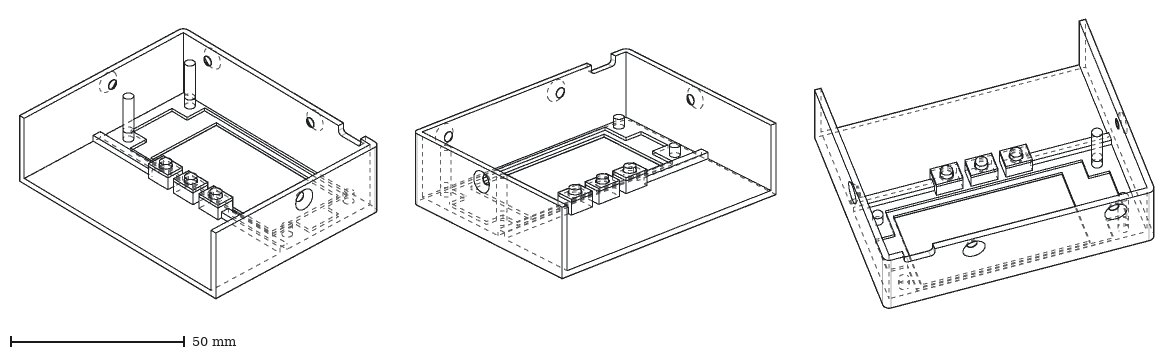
import cadquery as cq
CASE_LENGTH = 82.0
CASE_WIDTH = 65.0
CASE_HEIGHT = 23.0
WALL = 2.0
FLOOR = 2.0
CORNER_RADIUS = 2.0

SCREW_HOLE_DIAMETER = 3.0
SCREW_HOLE_Z = 18.0
REAR_SCREW_X = [-28.95, 13.9]
SIDE_SCREW_Y = 2.55
COUNTERSINK_DIAMETER = 6.7
COUNTERSINK_DEPTH = 1.8

NOTCH_LEFT = 25.8
NOTCH_WIDTH = 9.2
NOTCH_BOTTOM_Z = 20.0
NOTCH_RADIUS = 1.2

WINDOW = (-22.55, 28.4, 2.05, 28.0)
DISPLAY_POCKET = (-29.2, 30.25, 0.25, 29.7)
LEFT_TAB = (-35.5, DISPLAY_POCKET[0], 6.6, 22.7)
RIGHT_TAB = (DISPLAY_POCKET[1], 36.2, 9.1, 20.7)
POCKET_DEPTH = 1.0

BOSS_DIAMETER = 3.1
BOSS_TOP_Z = 5.1
LEFT_BOSS_X = -32.9
RIGHT_BOSS_X = 33.45
BOSS_Y = [2.95, 27.3]
PEG_TOP_Z = 17.0

RIB_WIDTH = 2.8
RIB_Y = -3.8
RIB_TOP_Z = 4.0

BUTTON_PITCH = 10.5
BUTTON_COUNT = 3
BUTTON_Y = -3.5
BLOCK_LENGTH = 8.0
BLOCK_WIDTH = 5.9
COVER_TOP_Z = 7.05
COVER_THICKNESS = 1.0
COVER_HOLE_DIAMETER = 3.9
PLUNGER_DIAMETER = 3.5
PLUNGER_TOP_Z = 8.5

BLOCK_TOP_Z = COVER_TOP_Z - COVER_THICKNESS
BUTTON_X = [(i - (BUTTON_COUNT - 1) / 2) * BUTTON_PITCH for i in range(BUTTON_COUNT)]


def box_between(bounds, z_min, z_max):
    """Box over (x min, x max, y min, y max) from z_min to z_max."""
    x_min, x_max, y_min, y_max = bounds
    size = (x_max - x_min, y_max - y_min, z_max - z_min)
    return cq.Workplane("XY").box(*size, centered=False).translate((x_min, y_min, z_min))


def block_at(x, y, length, width, z_min, z_max):
    """Box centred on (x, y) from z_min to z_max."""
    bounds = (x - length / 2, x + length / 2, y - width / 2, y + width / 2)
    return box_between(bounds, z_min, z_max)


def cylinder_at(x, y, diameter, z_min, z_max):
    """Upright cylinder centred on (x, y) from z_min to z_max."""
    return cq.Workplane("XY", origin=(x, y, z_min)).circle(diameter / 2).extrude(z_max - z_min)


def make_shell():
    """Floor with left, right and rear walls."""
    outer = block_at(0, 0, CASE_LENGTH, CASE_WIDTH, 0, CASE_HEIGHT)
    outer = outer.edges("|Z and >Y").fillet(CORNER_RADIUS)
    half_inside = CASE_LENGTH / 2 - WALL
    cavity = (-half_inside, half_inside, -CASE_WIDTH / 2, CASE_WIDTH / 2 - WALL)
    return outer.cut(box_between(cavity, FLOOR, CASE_HEIGHT))


def cut_display_opening(case):
    """Through window inside a shallow pocket with a tab at each end."""
    for area in (DISPLAY_POCKET, LEFT_TAB, RIGHT_TAB):
        case = case.cut(box_between(area, FLOOR - POCKET_DEPTH, FLOOR))
    return case.cut(box_between(WINDOW, 0, FLOOR))


def screw_hole(x, y, inward):
    """Countersunk hole through a wall, starting on its outer face and running along inward."""
    outer_center = cq.Vector(x, y, SCREW_HOLE_Z)
    hole_radius = SCREW_HOLE_DIAMETER / 2
    shank = cq.Solid.makeCylinder(hole_radius, WALL, outer_center, inward)
    head_radius = COUNTERSINK_DIAMETER / 2
    head = cq.Solid.makeCone(head_radius, hole_radius, COUNTERSINK_DEPTH, outer_center, inward)
    return shank.fuse(head)


def cable_notch():
    """Round-cornered slot open at the top of the rear wall."""
    bounds = (NOTCH_LEFT, NOTCH_LEFT + NOTCH_WIDTH, CASE_WIDTH / 2 - WALL, CASE_WIDTH / 2)
    return box_between(bounds, NOTCH_BOTTOM_Z, CASE_HEIGHT).edges("|Y and <Z").fillet(NOTCH_RADIUS)


def make_case():
    """Shell with its openings, bosses, rib and button blocks."""
    case = cut_display_opening(make_shell())
    for x in REAR_SCREW_X:
        case = case.cut(screw_hole(x, CASE_WIDTH / 2, cq.Vector(0, -1, 0)))
    for side in (-1, 1):
        case = case.cut(screw_hole(side * CASE_LENGTH / 2, SIDE_SCREW_Y, cq.Vector(-side, 0, 0)))
    case = case.cut(cable_notch())
    for x in (LEFT_BOSS_X, RIGHT_BOSS_X):
        for y in BOSS_Y:
            case = case.union(cylinder_at(x, y, BOSS_DIAMETER, FLOOR, BOSS_TOP_Z))

    rib = block_at(0, RIB_Y, CASE_LENGTH - 2 * WALL, RIB_WIDTH, FLOOR, RIB_TOP_Z)
    row_length = BUTTON_X[-1] - BUTTON_X[0] + BLOCK_LENGTH
    case = case.union(rib.cut(block_at(0, RIB_Y, row_length, RIB_WIDTH, FLOOR, RIB_TOP_Z)))
    for x in BUTTON_X:
        case = case.union(block_at(x, BUTTON_Y, BLOCK_LENGTH, BLOCK_WIDTH, FLOOR, BLOCK_TOP_Z))
    return case


def make_peg(y):
    """Peg standing on a left boss."""
    return cylinder_at(LEFT_BOSS_X, y, BOSS_DIAMETER, BOSS_TOP_Z, PEG_TOP_Z)


def make_cover(x):
    """Plate on a button block with a clearance hole for the plunger."""
    plate = block_at(x, BUTTON_Y, BLOCK_LENGTH, BLOCK_WIDTH, BLOCK_TOP_Z, COVER_TOP_Z)
    return plate.cut(cylinder_at(x, BUTTON_Y, COVER_HOLE_DIAMETER, BLOCK_TOP_Z, COVER_TOP_Z))


def make_plunger(x):
    """Plunger resting on a button block, inside the hole of its cover."""
    return cylinder_at(x, BUTTON_Y, PLUNGER_DIAMETER, BLOCK_TOP_Z, PLUNGER_TOP_Z)


case = make_case()
pegs = [make_peg(y) for y in BOSS_Y]
covers = [make_cover(x) for x in BUTTON_X]
plungers = [make_plunger(x) for x in BUTTON_X]

result = cq.Compound.makeCompound([body.val() for body in [case, *pegs, *covers, *plungers]])